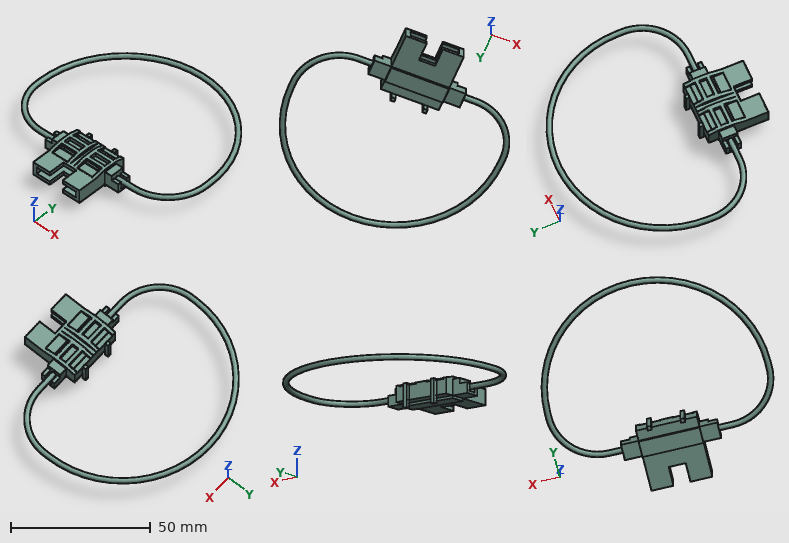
import cadquery as cq
import math

overall_width = 83.3

wire_diameter = 2.1
wire_radius = wire_diameter / 2
loop_radius = overall_width / 2 - wire_radius
loop_center_y = 20.0
bend_radius = 17.8
bend_center_x = loop_radius - bend_radius
bend_end_y = 16.0

body_width = 22.5
body_half_height = 3.0
body_back_y = 6.9
body_front_y = -9.25
prong_front_y = -16.5
prong_gap = 6.25
slot_width = 18.8
slot_half_height = 1.4
slot_back_y = -6.0

terminal_width = 5.1
terminal_height = 0.75
terminal_depth = 1.5
terminal_offset_x = 4.6

grip_rise = 1.0
grip_top_z = body_half_height + grip_rise
band_half_length = 3.0
grip_front_y = -8.0
center_channel_width = 1.75
rib_width = 1.5
grip_inner_x = center_channel_width / 2
grip_outer_x = body_width / 2
panel_width = grip_outer_x - grip_inner_x - 2 * rib_width
panel_center_x = (grip_inner_x + grip_outer_x) / 2
front_panel_y = -4.0
back_panel_y = 4.9
panel_recess = 0.4

window_width = 7.1
window_length = 2.8
window_depth = 1.5
window_center_x = grip_outer_x - rib_width - window_width / 2

ear_end_x = 17.7
ear_step_x = 14.5
ear_half_length = 3.0
ear_step_z = 1.0
wire_slot_width = 3.0
wire_slot_floor_z = -2.0

peg_size = 1.5
peg_offset_x = 6.2
peg_bottom_z = -6.0


def box(x_min, x_max, y_min, y_max, z_min, z_max):
    """Block given by its limits along each axis."""
    size = (x_max - x_min, y_max - y_min, z_max - z_min)
    return cq.Workplane("XY").box(*size, centered=False).translate((x_min, y_min, z_min))


def centered_box(center_x, width, y_min, y_max, z_min, z_max):
    """Block centred on a given X."""
    return box(center_x - width / 2, center_x + width / 2, y_min, y_max, z_min, z_max)


def make_core():
    """Body with two prongs, a slot for the fuse and the terminal openings."""
    core = centered_box(0, body_width, prong_front_y, body_back_y, -body_half_height, body_half_height)
    core = core.cut(centered_box(0, prong_gap, prong_front_y, body_front_y,
                                 -body_half_height, body_half_height))
    core = core.cut(centered_box(0, slot_width, prong_front_y, slot_back_y,
                                 -slot_half_height, slot_half_height))
    for side in (-1, 1):
        core = core.cut(centered_box(side * terminal_offset_x, terminal_width,
                                     slot_back_y, slot_back_y + terminal_depth,
                                     -terminal_height / 2, terminal_height / 2))
    return core


def make_grip(side):
    """Raised pad with sloping ribs in front and behind, open between the ribs."""
    profile = [
        (body_back_y, body_half_height),
        (band_half_length, grip_top_z),
        (-band_half_length, grip_top_z),
        (grip_front_y, body_half_height),
    ]
    center_x = side * panel_center_x
    grip_width = grip_outer_x - grip_inner_x
    grip = (
        cq.Workplane("YZ").polyline(profile).close().extrude(grip_width / 2, both=True)
        .translate((center_x, 0, 0))
    )
    for y_min, y_max in ((band_half_length, body_back_y), (grip_front_y, -band_half_length)):
        grip = grip.cut(centered_box(center_x, panel_width, y_min, y_max, body_half_height, grip_top_z))
    return grip


def make_ear(side):
    """Stepped block on the side of the body with an open channel for the wire."""
    ear = box(body_width / 2, ear_step_x, -ear_half_length, ear_half_length,
              -body_half_height, body_half_height)
    ear = ear.union(box(ear_step_x, ear_end_x, -ear_half_length, ear_half_length,
                        -body_half_height, ear_step_z))
    ear = ear.cut(box(ear_step_x, ear_end_x, -wire_slot_width / 2, wire_slot_width / 2,
                      wire_slot_floor_z, ear_step_z))
    return ear if side > 0 else ear.mirror("YZ")


def make_housing():
    housing = make_core()
    housing = housing.union(centered_box(0, body_width, -band_half_length, band_half_length,
                                         -grip_top_z, -body_half_height))
    for side in (-1, 1):
        housing = housing.union(make_grip(side)).union(make_ear(side))
        housing = housing.union(centered_box(side * peg_offset_x, peg_size, body_back_y,
                                             body_back_y + peg_size, peg_bottom_z, body_half_height))
        for y_min, y_max in ((back_panel_y, body_back_y), (grip_front_y, front_panel_y)):
            housing = housing.cut(centered_box(side * panel_center_x, panel_width, y_min, y_max,
                                               body_half_height - panel_recess, body_half_height))
        housing = housing.cut(centered_box(side * window_center_x, window_width,
                                           -window_length / 2, window_length / 2,
                                           grip_top_z - window_depth, grip_top_z))
    return housing


def make_wire():
    """Round wire: straight ends, lower bends, short blends and one large loop."""
    bend_angle = math.acos((bend_radius - bend_end_y) / bend_radius)

    def bend_point(angle):
        """Point on the right bend, turned by an angle from its lowest point."""
        return (bend_center_x + bend_radius * math.sin(angle),
                bend_radius * (1 - math.cos(angle)))

    def mirrored(point):
        return (-point[0], point[1])

    bend_end = bend_point(bend_angle)
    bend_middle = bend_point(bend_angle / 2)
    bend_direction = (math.cos(bend_angle), math.sin(bend_angle))
    loop_start = (loop_radius, loop_center_y)
    loop_top = (0, loop_center_y + loop_radius)

    path = (
        cq.Workplane("XY").moveTo(ear_step_x, 0)
        .lineTo(bend_center_x, 0)
        .threePointArc(bend_middle, bend_end)
        .spline([loop_start], tangents=[bend_direction, (0, 1)], includeCurrent=True)
        .threePointArc(loop_top, mirrored(loop_start))
        .spline([mirrored(bend_end)], tangents=[(0, -1), (bend_direction[0], -bend_direction[1])],
                includeCurrent=True)
        .threePointArc(mirrored(bend_middle), (-bend_center_x, 0))
        .lineTo(-ear_step_x, 0)
    )
    return cq.Workplane("YZ", origin=(ear_step_x, 0, 0)).circle(wire_radius).sweep(path)


housing = make_housing()
wire = make_wire()

result = cq.Compound.makeCompound([housing.val(), wire.val()])